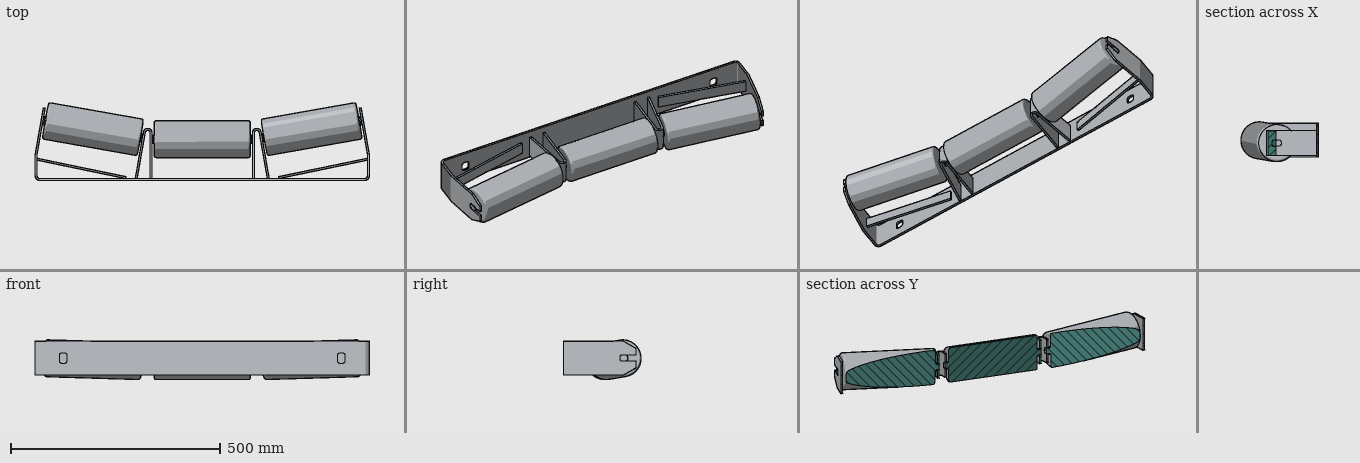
import cadquery as cq
import math


FRAME_LENGTH = 800
STRIP_THICKNESS = 5
STRIP_WIDTH = 81.5
CORNER_RADIUS = 12
WALL_BEND_Y = 62
WALL_BEND_RADIUS = 20
WALL_TOP_Y = 174
WALL_CHAMFER_LENGTH = 31
WALL_CHAMFER_DEPTH = 17.5

TROUGH_ANGLE = 10
FORWARD_TILT = 1.72
ROLLER_DIAMETER = 89
ROLLER_LENGTH = 230
RIM_RADIUS = 5
SHAFT_DIAMETER = 20
SHAFT_LENGTH = 250
SHAFT_FLATS = 14
FLAT_LENGTH = STRIP_THICKNESS + 2
CENTRE_ROLLER_Y = 99
CENTRE_ROLLER_Z = -7
SIDE_ROLLER_X = 261.5
SIDE_ROLLER_Y = 123.1

HAIRPIN_WIDTH = 60
HAIRPIN_RADIUS = 8

STRUT_WIDTH = 30
STRUT_ANGLE = 11.7
STRUT_FOOT_X = 182
WELD_BITE = 0.3

HOLE_X = 332.5
HOLE_LENGTH_X = 18
HOLE_LENGTH_Z = 25
HOLE_CORNER_RADIUS = 6

HALF_LENGTH = FRAME_LENGTH / 2
INNER_WALL_X = HALF_LENGTH - STRIP_THICKNESS
LEAN = math.radians(TROUGH_ANGLE)
SEAT = (SHAFT_LENGTH - STRIP_THICKNESS) / 2
SIDE_ROLLER_Z = -SEAT * math.sin(math.radians(FORWARD_TILT))


def place_left(shape):
    """Move a shape from roller coordinates (axis along X) to the left roller."""
    tilted = shape.rotate((0, 0, 0), (0, 1, 0), FORWARD_TILT)
    leaned = tilted.rotate((0, 0, 0), (0, 0, 1), -TROUGH_ANGLE)
    return leaned.translate((-SIDE_ROLLER_X, SIDE_ROLLER_Y, SIDE_ROLLER_Z))


def both_sides(left):
    """A left-hand shape together with its mirror image."""
    return left.add(left.mirror("YZ"))


def x_cylinder(diameter, length):
    """Cylinder along X, centred on the origin."""
    cylinder = cq.Workplane("YZ").circle(diameter / 2).extrude(length)
    return cylinder.translate((-length / 2, 0, 0))



def flatted_shaft(length):
    """Shaft section along X with flats above and below."""
    between_flats = cq.Workplane().box(length, SHAFT_DIAMETER, SHAFT_FLATS)
    return x_cylinder(SHAFT_DIAMETER, length).intersect(between_flats)


def make_shaft():
    """Round shaft with two flats at each end, where it sits in the support plates."""
    return flatted_shaft(SHAFT_LENGTH).union(x_cylinder(SHAFT_DIAMETER, SHAFT_LENGTH - 2 * FLAT_LENGTH))


def make_roller():
    shell = x_cylinder(ROLLER_DIAMETER, ROLLER_LENGTH).edges().fillet(RIM_RADIUS)
    return shell.union(make_shaft())



def make_channel():
    """Base strip with both ends bent up and leaning inwards."""
    top_x = HALF_LENGTH - (WALL_TOP_Y - WALL_BEND_Y) * math.tan(LEAN)
    inner_top_x = top_x - STRIP_THICKNESS * math.cos(LEAN)
    inner_top_y = WALL_TOP_Y - STRIP_THICKNESS * math.sin(LEAN)
    inner_bend_y = WALL_BEND_Y - STRIP_THICKNESS * math.tan(LEAN / 2)

    right_outer = [(HALF_LENGTH, 0), (HALF_LENGTH, WALL_BEND_Y), (top_x, WALL_TOP_Y)]
    right_inner = [
        (inner_top_x, inner_top_y),
        (INNER_WALL_X, inner_bend_y),
        (INNER_WALL_X, STRIP_THICKNESS),
    ]
    right_points = right_outer + right_inner
    left_points = [(-x, y) for x, y in reversed(right_points)]
    channel = (
        cq.Workplane()
        .polyline(right_points + left_points)
        .close()
        .extrude(STRIP_WIDTH / 2, both=True)
    )

    bends = [
        (HALF_LENGTH, 0, CORNER_RADIUS),
        (INNER_WALL_X, STRIP_THICKNESS, CORNER_RADIUS - STRIP_THICKNESS),
        (HALF_LENGTH, WALL_BEND_Y, WALL_BEND_RADIUS),
        (INNER_WALL_X, inner_bend_y, WALL_BEND_RADIUS - STRIP_THICKNESS),
    ]
    for side in (-1, 1):
        for x, y, radius in bends:
            edge = cq.selectors.NearestToPointSelector((side * x, y, 0))
            channel = channel.edges("|Z").edges(edge).fillet(radius)
    return channel


def make_wall_chamfers():
    """Material removed from the four corners of the end wall tips."""
    edge_z = STRIP_WIDTH / 2
    upper = (
        cq.Workplane("YZ")
        .moveTo(WALL_TOP_Y, edge_z)
        .lineTo(WALL_TOP_Y, edge_z - WALL_CHAMFER_DEPTH)
        .lineTo(WALL_TOP_Y - WALL_CHAMFER_LENGTH, edge_z)
        .close()
        .extrude(HALF_LENGTH, both=True)
    )
    return upper.add(upper.mirror("XY"))


def make_left_wall_slot():
    """Slot open at the wall tip, through which the shaft drops into its seat."""
    depth = 4 * STRIP_THICKNESS
    entry = cq.Workplane().box(depth, WALL_TOP_Y, SHAFT_FLATS, centered=(True, False, True))
    slot = entry.union(flatted_shaft(depth))
    return place_left(slot.translate((-SEAT, 0, 0)))


def make_left_hairpin():
    """Strip bent over between the left and centre rollers, both legs standing on the base.

    One leg is square to the centre roller, the other is square to the left roller.
    """
    axis_x = math.cos(LEAN)
    axis_y = -math.sin(LEAN)
    seat_x = -SIDE_ROLLER_X + SEAT * axis_x
    seat_y = SIDE_ROLLER_Y + SEAT * axis_y
    bend_x = -SEAT - HAIRPIN_RADIUS
    bend_y = seat_y + ((bend_x - seat_x) * axis_x - HAIRPIN_RADIUS) / math.sin(LEAN)
    foot_y = STRIP_THICKNESS / 2

    def outline(radius):
        """Region enclosed by a hairpin of the given bend radius."""
        lean_x = bend_x - radius * axis_x
        lean_y = bend_y - radius * axis_y
        lean_foot_x = lean_x - (lean_y - foot_y) * math.tan(LEAN)
        return (
            cq.Workplane()
            .moveTo(lean_foot_x, foot_y)
            .lineTo(lean_x, lean_y)
            .threePointArc((bend_x, bend_y + radius), (bend_x + radius, bend_y))
            .lineTo(bend_x + radius, foot_y)
            .close()
            .extrude(HAIRPIN_WIDTH / 2, both=True)
        )

    outer = outline(HAIRPIN_RADIUS + STRIP_THICKNESS / 2)
    inner = outline(HAIRPIN_RADIUS - STRIP_THICKNESS / 2)
    return outer.cut(inner).translate((0, 0, CENTRE_ROLLER_Z))


def make_left_strut():
    """Flat brace sloping from the end wall down to the base."""
    slope = math.radians(STRUT_ANGLE)
    length = (INNER_WALL_X - STRUT_FOOT_X) / math.cos(slope)
    wall_y = STRIP_THICKNESS + length * math.sin(slope) + STRIP_THICKNESS * math.cos(slope)
    strut = (
        cq.Workplane()
        .box(length, STRIP_THICKNESS, STRUT_WIDTH, centered=(False, False, True))
        .translate((0, -STRIP_THICKNESS, 0))
        .rotate((0, 0, 0), (0, 0, 1), -STRUT_ANGLE)
    )
    return strut.translate((-INNER_WALL_X - WELD_BITE, wall_y - WELD_BITE, 0))


def make_left_mounting_hole():
    hole = cq.Workplane().box(HOLE_LENGTH_X, 4 * STRIP_THICKNESS, HOLE_LENGTH_Z)
    return hole.edges("|Y").fillet(HOLE_CORNER_RADIUS).translate((-HOLE_X, 0, 0))


def make_frame(rollers):
    """Welded frame, with seats that match the shafts of the given rollers."""
    frame = make_channel().cut(make_wall_chamfers())
    frame = frame.cut(both_sides(make_left_wall_slot()))
    frame = frame.cut(both_sides(make_left_mounting_hole()))
    frame = frame.union(both_sides(make_left_hairpin()))
    frame = frame.union(both_sides(make_left_strut()))
    for roller in rollers:
        frame = frame.cut(roller)
    return frame



left_roller = place_left(make_roller())
centre_roller = make_roller().translate((0, CENTRE_ROLLER_Y, CENTRE_ROLLER_Z))
right_roller = left_roller.mirror("YZ")
all_rollers = [left_roller, centre_roller, right_roller]
frame = make_frame(all_rollers)

result = cq.Compound.makeCompound(
    [frame.solids().val()] + [roller.solids().val() for roller in all_rollers]
)